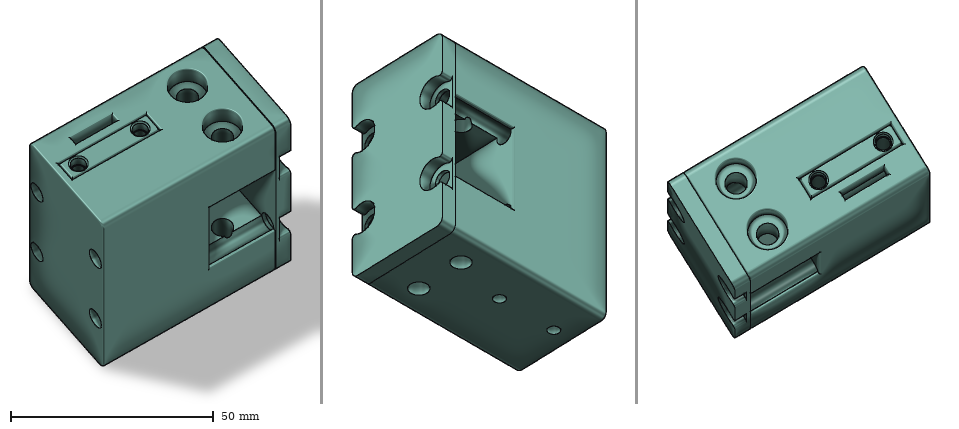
import cadquery as cq
import math

WIDTH = 32.0
DEPTH = 56.5
HEIGHT = 59.0
CORNER_RADIUS = 2.0
EDGE_RADIUS = 0.5
RIM_RADIUS = 0.4
PICK_MARGIN = 0.6
FRONT_Y = -DEPTH / 2
BACK_Y = DEPTH / 2
TOP_Z = HEIGHT / 2
BOTTOM_Z = -HEIGHT / 2

PLATE_THICKNESS = 4.5
JOINT_Y = BACK_Y - PLATE_THICKNESS
SCREW_X = 12.5
SCREW_Z = 12.5
SCREW_HOLE_DIAMETER = 5.0
SCREW_SLOT_STRETCH = 0.5
HEAD_RECESS_DIAMETER = 9.0
HEAD_RECESS_DEPTH = 3.4
HEAD_RECESS_MOUTH_RADIUS = 1.0

WINDOW_DEPTH = 20.0
WINDOW_HEIGHT = 25.0

BOLT_X = 7.5
BOLT_Y = 13.6
BOLT_HOLE_DIAMETER = 5.5
BOLT_HEAD_DIAMETER = 10.0
BOLT_HEAD_DEPTH = 5.0

STRIP_X = -3.3
STRIP_Y = -12.9
STRIP_POCKET_WIDTH = 6.0
STRIP_POCKET_LENGTH = 26.65
STRIP_CLEARANCE = 0.2
STRIP_WIDTH = STRIP_POCKET_WIDTH - 2 * STRIP_CLEARANCE
STRIP_LENGTH = STRIP_POCKET_LENGTH - 2 * STRIP_CLEARANCE
STRIP_THICKNESS = 3.0
STRIP_HOLE_SPACING = 18.65
STRIP_HOLE_DIAMETER = 4.0
STRIP_THREAD_DIAMETER = 3.4

SLOT_X = -9.85
SLOT_Y = STRIP_Y
SLOT_WIDTH = 2.2
SLOT_LENGTH = 12.5
SLOT_DEPTH = 5.0
SLOT_CROWN_RADIUS = 4.15

SCREW_POINTS = [(sx * SCREW_X, sz * SCREW_Z) for sx in (-1, 1) for sz in (-1, 1)]
STRIP_HOLE_POINTS = [(STRIP_X, STRIP_Y + s * STRIP_HOLE_SPACING / 2) for s in (-1, 1)]


def rounded_block(y_start, y_end):
    """Slice of the outer rectangular bar between two Y positions, with rounded long edges."""
    return (
        cq.Workplane("XY")
        .box(WIDTH, y_end - y_start, HEIGHT)
        .edges("|Y")
        .fillet(CORNER_RADIUS)
        .translate((0, (y_start + y_end) / 2, 0))
    )


def cylinder_z(x, y, diameter, z_bottom, z_top):
    """Upright cylinder between two heights."""
    return cq.Workplane("XY", origin=(x, y, z_bottom)).circle(diameter / 2).extrude(z_top - z_bottom)


def pocket_cutter(center_x, center_y, width, length, depth):
    """Rectangular cutter sunk from the top face."""
    return cq.Workplane("XY", origin=(center_x, center_y, TOP_Z)).rect(width, length).extrude(-depth)


def round_top_rims(body):
    """Round the rim of every opening in the body's top face."""
    openings = body.faces(">Z").val().innerWires()
    rim_edges = [edge for opening in openings for edge in opening.Edges()]
    return cq.Workplane(body.val().fillet(RIM_RADIUS, rim_edges))


def cut_window(body):
    """Cross window, open at the joint, with its other three edges rounded on both side faces."""
    window = cq.Workplane("XY").box(WIDTH, WINDOW_DEPTH, WINDOW_HEIGHT)
    body = body.cut(window.translate((0, JOINT_Y - WINDOW_DEPTH / 2, 0)))
    rim = cq.selectors.BoxSelector(
        (-WIDTH, JOINT_Y - WINDOW_DEPTH - PICK_MARGIN, -WINDOW_HEIGHT / 2 - PICK_MARGIN),
        (WIDTH, JOINT_Y - PICK_MARGIN, WINDOW_HEIGHT / 2 + PICK_MARGIN),
    )
    for side in ("<X", ">X"):
        body = body.faces(side).edges(rim).fillet(RIM_RADIUS)
    return body


def screw_slot_cutter(x, z):
    """Long hole along Y through the housing, stretched from the screw axis towards mid-height."""
    middle_z = z - math.copysign(SCREW_SLOT_STRETCH / 2, z)
    return (
        cq.Workplane("XZ", origin=(x, JOINT_Y, middle_z))
        .slot2D(SCREW_HOLE_DIAMETER + SCREW_SLOT_STRETCH, SCREW_HOLE_DIAMETER, 90)
        .extrude(JOINT_Y - FRONT_Y)
    )


def bolt_hole_cutter(x):
    """Counterbored bolt hole through the full height."""
    head = cylinder_z(x, BOLT_Y, BOLT_HEAD_DIAMETER, TOP_Z - BOLT_HEAD_DEPTH, TOP_Z)
    return head.union(cylinder_z(x, BOLT_Y, BOLT_HOLE_DIAMETER, BOTTOM_Z, TOP_Z))


def crowned_slot_cutter():
    """Narrow slot whose floor is part of a cylinder along Y, highest at the inner wall."""
    crown_drop = SLOT_CROWN_RADIUS - math.sqrt(SLOT_CROWN_RADIUS**2 - SLOT_WIDTH**2)
    cutter = pocket_cutter(SLOT_X, SLOT_Y, SLOT_WIDTH, SLOT_LENGTH, SLOT_DEPTH + crown_drop)
    crown_axis = (SLOT_X + SLOT_WIDTH / 2, SLOT_Y + SLOT_LENGTH / 2, TOP_Z - SLOT_DEPTH - SLOT_CROWN_RADIUS)
    crown = cq.Workplane("XZ", origin=crown_axis).circle(SLOT_CROWN_RADIUS).extrude(SLOT_LENGTH)
    return cutter.cut(crown)


def make_housing():
    """Main block; its screw holes come last so that their edges stay sharp."""
    body = rounded_block(FRONT_Y, JOINT_Y).faces("<Y or >Y").edges().fillet(EDGE_RADIUS)
    body = cut_window(body)
    body = body.cut(pocket_cutter(STRIP_X, STRIP_Y, STRIP_POCKET_WIDTH, STRIP_POCKET_LENGTH, STRIP_THICKNESS))
    body = body.cut(crowned_slot_cutter())
    for side in (-1, 1):
        body = body.cut(bolt_hole_cutter(side * BOLT_X))
    body = round_top_rims(body)
    for x, y in STRIP_HOLE_POINTS:
        body = body.cut(cylinder_z(x, y, STRIP_THREAD_DIAMETER, BOTTOM_Z, TOP_Z))
    for x, z in SCREW_POINTS:
        body = body.cut(screw_slot_cutter(x, z))
    return body


def screw_bore(x, z, diameter, depth):
    """Round cutter sunk from the back face of the plate."""
    return cq.Workplane("XZ", origin=(x, BACK_Y, z)).circle(diameter / 2).extrude(depth)


def make_plate():
    """Back plate whose screw-head recesses break out through the side faces."""
    plate = rounded_block(JOINT_Y, BACK_Y)
    for x, z in SCREW_POINTS:
        plate = plate.cut(screw_bore(x, z, SCREW_HOLE_DIAMETER, PLATE_THICKNESS))
        plate = plate.cut(screw_bore(x, z, HEAD_RECESS_DIAMETER, HEAD_RECESS_DEPTH))
    mouth_reach_z = SCREW_Z + HEAD_RECESS_DIAMETER / 2
    for side in (-1, 1):
        side_x = side * WIDTH / 2
        mouths = cq.selectors.BoxSelector(
            (side_x - PICK_MARGIN, JOINT_Y, -mouth_reach_z),
            (side_x + PICK_MARGIN, BACK_Y, mouth_reach_z),
        )
        plate = plate.edges("|Y").edges(mouths).fillet(HEAD_RECESS_MOUTH_RADIUS)
    return plate


def countersink(x, y):
    """Cone that breaks the top edge of a strip hole."""
    radius = STRIP_HOLE_DIAMETER / 2
    return (
        cq.Workplane("XY", origin=(x, y, TOP_Z))
        .circle(radius + RIM_RADIUS)
        .workplane(offset=-RIM_RADIUS)
        .circle(radius)
        .loft(ruled=True)
    )


def make_strip():
    """Insert strip with rounded top edges and two countersunk holes."""
    strip = pocket_cutter(STRIP_X, STRIP_Y, STRIP_WIDTH, STRIP_LENGTH, STRIP_THICKNESS)
    strip = strip.faces(">Z").edges().fillet(RIM_RADIUS)
    for x, y in STRIP_HOLE_POINTS:
        hole = cylinder_z(x, y, STRIP_HOLE_DIAMETER, TOP_Z - STRIP_THICKNESS, TOP_Z)
        strip = strip.cut(hole).cut(countersink(x, y))
    return strip


housing = make_housing()
plate = make_plate()
strip = make_strip()

result = cq.Compound.makeCompound([body.solids().val() for body in (housing, plate, strip)])